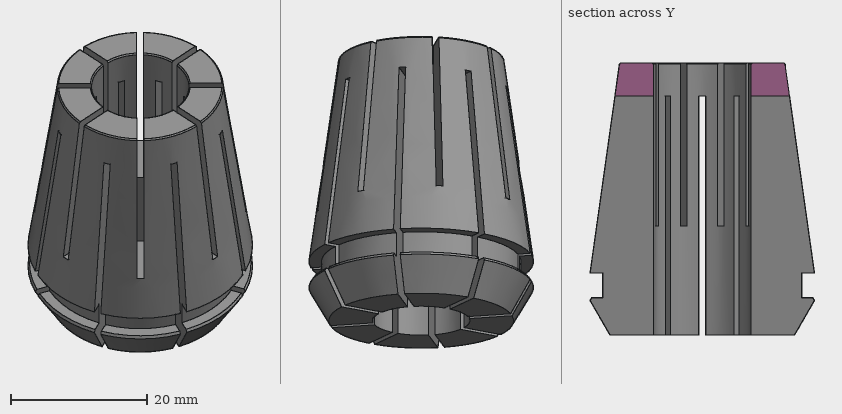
import cadquery as cq
import math

HEIGHT = 40.0
MAX_RADIUS = 16.5
BORE_DIAMETER = 14.29

NOSE_HALF_ANGLE = 30.0
NOSE_HEIGHT = 5.1
RIM_BEVEL_HEIGHT = 0.4
RIM_BEVEL_WIDTH = 0.25

GROOVE_RADIUS = 14.65
GROOVE_WIDTH = 3.6

TAPER_HALF_ANGLE = 8.0
TOP_EDGE_BREAK = 0.2

SLOT_WIDTH = 1.0
SLOTS_PER_END = 8
SLOT_END_WEB = 4.9
TOP_SLOT_FLOOR = 16.0

bore_radius = BORE_DIAMETER / 2
nose_radius = MAX_RADIUS - NOSE_HEIGHT * math.tan(math.radians(NOSE_HALF_ANGLE))
rim_top = NOSE_HEIGHT + RIM_BEVEL_HEIGHT
taper_bottom = rim_top + GROOVE_WIDTH
taper_slope = math.tan(math.radians(TAPER_HALF_ANGLE))
break_bottom = HEIGHT - TOP_EDGE_BREAK
break_radius = MAX_RADIUS - (break_bottom - taper_bottom) * taper_slope
slot_pitch = 360.0 / SLOTS_PER_END


def collet_body():
    """Revolve the half section of the unslotted collet about Z."""
    half_section = [
        (bore_radius, 0),
        (nose_radius, 0),
        (MAX_RADIUS, NOSE_HEIGHT),
        (MAX_RADIUS - RIM_BEVEL_WIDTH, rim_top),
        (GROOVE_RADIUS, rim_top),
        (GROOVE_RADIUS, taper_bottom),
        (MAX_RADIUS, taper_bottom),
        (break_radius, break_bottom),
        (break_radius - TOP_EDGE_BREAK, HEIGHT),
        (bore_radius + TOP_EDGE_BREAK, HEIGHT),
        (bore_radius, break_bottom),
    ]
    profile = cq.Workplane("XZ").polyline(half_section).close()
    return profile.revolve(360, (0, 0, 0), (0, 1, 0))


def cut_slots(body, bottom, top, first_angle):
    """Cut radial slots from the bore through the outer wall, between two heights."""
    blade = (
        cq.Workplane("XY")
        .workplane(offset=bottom)
        .rect(MAX_RADIUS + SLOT_WIDTH, SLOT_WIDTH)
        .extrude(top - bottom)
        .translate(((MAX_RADIUS + SLOT_WIDTH) / 2, 0, 0))
    )
    for index in range(SLOTS_PER_END):
        angle = first_angle + index * slot_pitch
        body = body.cut(blade.rotate((0, 0, 0), (0, 0, 1), angle))
    return body


result = collet_body()
result = cut_slots(result, 0, HEIGHT - SLOT_END_WEB, 0)
result = cut_slots(result, TOP_SLOT_FLOOR, HEIGHT, slot_pitch / 2)